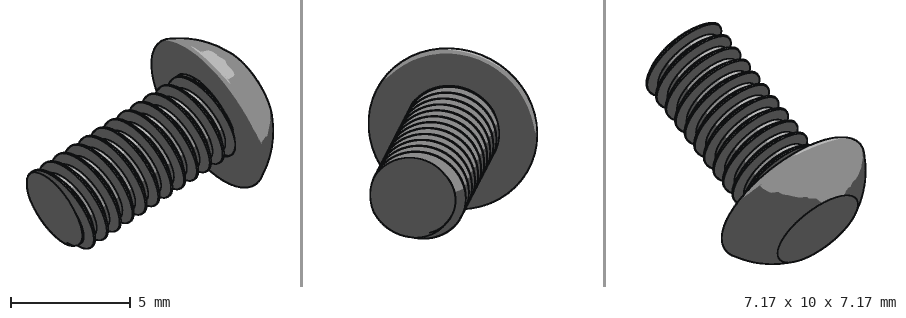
import cadquery as cq
import math

total_length = 10.0
head_height = 2.0
shank_length = total_length - head_height

head_diameter = 7.17
head_radius = head_diameter / 2
head_top_radius = 2.04
rim_radius = 0.19
rim_height = 0.3
dome_bulge = 0.16

thread_radius = 2.0
pitch = 0.7
flank_angle = math.radians(30)
crest_width = pitch / 8
root_width = pitch / 4
groove_width = pitch - crest_width
thread_depth = (groove_width - root_width) / 2 / math.tan(flank_angle)
core_radius = thread_radius - thread_depth
groove_overshoot = 0.03
lead_in = 1.5 * pitch
groove_turns = 13.5
groove_start_angle = 180


def make_head():
    """Revolve the dome and rounded rim about Y."""
    rim_center_x = head_radius - rim_radius
    rim_end_rise = rim_height - rim_radius
    rim_end_x = rim_center_x + math.sqrt(rim_radius**2 - rim_end_rise**2)
    dome_dx = rim_end_x - head_top_radius
    dome_dy = head_height - rim_height
    chord = math.hypot(dome_dx, dome_dy)
    dome_mid = (
        (rim_end_x + head_top_radius) / 2 + dome_bulge * dome_dy / chord,
        (rim_height + head_height) / 2 + dome_bulge * dome_dx / chord,
    )
    return (
        cq.Workplane("XY")
        .lineTo(rim_center_x, 0)
        .threePointArc((head_radius, rim_radius), (rim_end_x, rim_height))
        .threePointArc(dome_mid, (head_top_radius, head_height))
        .lineTo(0, head_height)
        .close()
        .revolve(360, (0, 0, 0), (0, 1, 0))
    )


def make_shank():
    """Plain shank, reaching the bearing face of the head."""
    return cq.Workplane("XZ").circle(thread_radius).extrude(shank_length)


def make_groove():
    """Sweep the groove about Z, lay it along Y and trim it to the thread radius."""
    helix = cq.Wire.makeHelix(pitch, groove_turns * pitch, core_radius)
    outer_radius = thread_radius + groove_overshoot
    outer_half_width = groove_width / 2 + groove_overshoot * math.tan(flank_angle)
    groove = (
        cq.Workplane("XZ")
        .moveTo(core_radius, -root_width / 2)
        .lineTo(outer_radius, -outer_half_width)
        .lineTo(outer_radius, outer_half_width)
        .lineTo(core_radius, root_width / 2)
        .close()
        .sweep(cq.Workplane(helix), isFrenet=True)
        .rotate((0, 0, 0), (0, 0, 1), groove_start_angle)
        .rotate((0, 0, 0), (1, 0, 0), -90)
        .translate((0, -shank_length - lead_in, 0))
    )
    envelope = (
        cq.Workplane("XZ", origin=(0, head_height, 0))
        .circle(thread_radius)
        .extrude(total_length + 2 * lead_in)
    )
    return groove.intersect(envelope)


result = make_head().union(make_shank()).cut(make_groove())